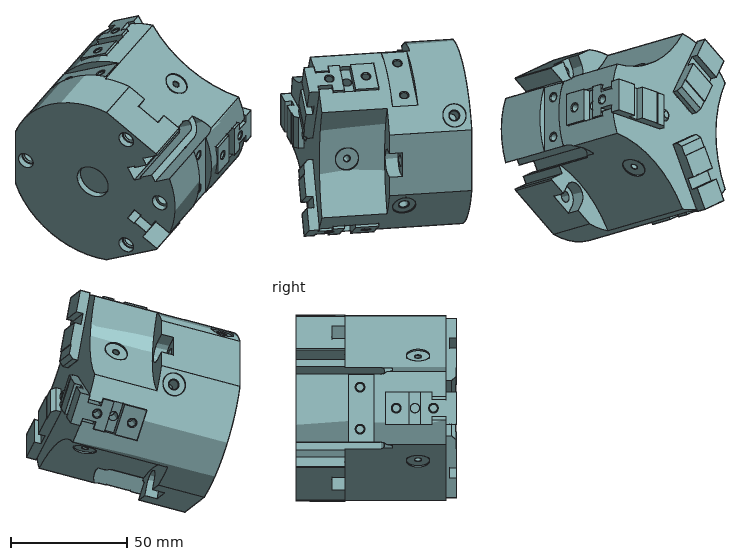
import cadquery as cq
import math


BODY_RADIUS = 40.0
BODY_HEIGHT = 64.5
COVER_HEIGHT = 6.1
FLAT_RADIAL = 37.5
JAW_ANGLES = (0, 120, 240)

SCALLOP_FLOORS = {60: 21.0, 180: 36.0, 300: 21.0}
SCALLOP_RADIUS = 52.0
SCALLOP_AXIS_RADIAL = 78.1
RELIEF_WIDTH = 10.8
RELIEF_DEPTH = 5.6
RELIEF_END_RADIAL = 27.5

SENSOR_ANGLES = (30, -30)
SENSOR_STRAIGHT_HEIGHT = 35.5
SENSOR_STEPS = ((31.5, 6.0), (25.0, 2.6), (21.4, 3.2))

SEAT_ANGLES = (0, 120)
SEAT_RADIAL = 37.0
SEAT_BOTTOM = 22.5
SEAT_HEIGHT = 11.0
SEAT_HOLE_SPACING = 18.0
SEAT_HOLE_Y = 27.5

THREAD_RADIUS = 1.7
THREAD_MOUTH_RADIUS = 2.1
THREAD_DEPTH = 8.0

PORT_RADIUS = 5.0
PORT_SEAT_RADIAL = 39.1
PORT_HOLE_RADIUS = 2.1
PORT_HOLE_MOUTH = 2.4
PORT_PLACES = ((150, 7.0), (210, 29.0))
SCALLOP_PORT_Y = 52.4
SCALLOP_PORT_SEAT_RADIAL = 25.6
SCALLOP_PORT_HOLE_RADIUS = 1.4
SCALLOP_PORT_HOLE_MOUTH = 1.5
PORT_HOLE_DEPTH = 8.0

BOLT_RADIAL = 32.5
BOLT_HOLE_RADIUS = 2.5
BOLT_SINK_RADIUS = 3.0
BOLT_MOUTH_RADIUS = 3.5
BOLT_MOUTH_DEPTH = 3.0
BOLT_ANGLES = (60, 180, 300)
BLIND_BOLT_ANGLE = 0
BLIND_BOLT_DEPTH = 12.0
DRILL_TIP_ANGLE = 118.0
CENTRE_RADIUS = 7.5
CENTRE_DEPTH = 3.0

STUD_X = 6.6
STUD_BASE_RADIUS = 2.6
STUD_TOP_RADIUS = 1.5
STUD_HEIGHT = 1.1

JAW_OUTER = 40.5
JAW_INNER = 9.7
JAW_WIDTH = 14.0
JAW_BOTTOM = 38.5
JAW_TOP = 69.0
NECK_WIDTH = 7.4
NECK_SLOT_WIDTH = 10.0
FACE_GROOVE_BOTTOM = 48.6
FACE_GROOVE_HEIGHT = 4.9
FACE_GROOVE_RADIAL = 37.0
FACE_GROOVE_HOLE_RADIUS = 2.0
JAW_HOLE_HEIGHTS = (43.0, 59.0)
KEY_GROOVE_INNER = 25.7
KEY_GROOVE_WIDTH = 5.0
KEY_GROOVE_DEPTH = 3.0
TIP_STEP_RADIAL = 15.8
TIP_STEP_DEPTH = 0.3
TIP_CHAMFER = 1.8

COVER_BOTTOM = BODY_HEIGHT - COVER_HEIGHT
PAST = 8.0


def turned(shape, angle):
    """Turn a shape built along +X to the given direction around the housing axis."""
    return shape.rotate((0, 0, 0), (0, 1, 0), -angle)


def block(radial_in, radial_out, bottom, top, width):
    """Box along +X, centred on Z = 0."""
    size = (radial_out - radial_in, top - bottom, width)
    return cq.Workplane("XY").box(*size, centered=(False, False, True)).translate((radial_in, bottom, 0))


def rod(radius, bottom, height):
    """Cylinder along the housing axis."""
    return cq.Workplane("XZ", origin=(0, bottom, 0)).circle(radius).extrude(-height)


def radial_hole(mouth_radial, height, radius, mouth_radius, depth, side=0.0):
    """Radial hole along +X with a 45-degree countersink from mouth_radius down to radius."""
    sink = mouth_radius - radius
    profile = [
        (mouth_radial - depth, 0), (mouth_radial - depth, radius), (mouth_radial - sink, radius),
        (mouth_radial, mouth_radius), (mouth_radial + PAST, mouth_radius), (mouth_radial + PAST, 0),
    ]
    hole = cq.Workplane("XY").polyline(profile).close().revolve(360, (0, 0, 0), (1, 0, 0))
    return hole.translate((0, height, side))


def port(seat_radial, height, hole_radius, mouth_radius):
    """Spot face with a central countersunk hole, along +X."""
    hole = radial_hole(seat_radial, height, hole_radius, mouth_radius, PORT_HOLE_DEPTH)
    spot = cq.Workplane("YZ", origin=(seat_radial, height, 0)).circle(PORT_RADIUS).extrude(PAST)
    return hole.union(spot)


def scallop(floor):
    """Concave cut with its axis parallel to the housing axis, plus the pocket in its floor."""
    cut = rod(SCALLOP_RADIUS, floor, BODY_HEIGHT).translate((SCALLOP_AXIS_RADIAL, 0, 0))
    end_centre = RELIEF_END_RADIAL + RELIEF_WIDTH / 2
    relief = block(end_centre, BODY_RADIUS + PAST, floor - RELIEF_DEPTH, floor, RELIEF_WIDTH)
    relief_end = rod(RELIEF_WIDTH / 2, floor - RELIEF_DEPTH, RELIEF_DEPTH).translate((end_centre, 0, 0))
    return cut.union(relief).union(relief_end)


def sensor_slot():
    """Stepped slot from the mounting face upwards, each step closed by a half-round top."""
    slot = cq.Workplane("XY")
    outer = BODY_RADIUS + PAST
    for inner, half_width in SENSOR_STEPS:
        straight = block(inner, outer, 0, SENSOR_STRAIGHT_HEIGHT, 2 * half_width)
        top = cq.Workplane("YZ", origin=(inner, SENSOR_STRAIGHT_HEIGHT, 0)).circle(half_width)
        slot = slot.union(straight).union(top.extrude(outer - inner))
        outer = inner
    return slot


def bolt_hole(depth):
    """Counterbored hole in the mounting face at +X."""
    hole = rod(BOLT_HOLE_RADIUS, 0, depth).union(rod(BOLT_MOUTH_RADIUS, 0, BOLT_MOUTH_DEPTH))
    return hole.translate((BOLT_RADIAL, 0, 0))


def through_bolt_hole():
    """Counterbored through hole, countersunk at 45 degrees below the counterbore."""
    sink = cq.Solid.makeCone(
        BOLT_SINK_RADIUS, BOLT_HOLE_RADIUS, BOLT_SINK_RADIUS - BOLT_HOLE_RADIUS,
        cq.Vector(BOLT_RADIAL, BOLT_MOUTH_DEPTH, 0), cq.Vector(0, 1, 0),
    )
    return bolt_hole(BODY_HEIGHT).union(cq.Workplane(obj=sink))


def drill_tip(bottom):
    """Conical end of the blind bolt hole."""
    length = BOLT_HOLE_RADIUS / math.tan(math.radians(DRILL_TIP_ANGLE / 2))
    cone = cq.Solid.makeCone(
        BOLT_HOLE_RADIUS, 0, length, cq.Vector(BOLT_RADIAL, bottom, 0), cq.Vector(0, 1, 0)
    )
    return cq.Workplane(obj=cone)


def jaw_way():
    """Space in the housing for one jaw: a full-width guide below the cover and a slot through it."""
    guide = block(JAW_INNER, BODY_RADIUS + PAST, JAW_BOTTOM, COVER_BOTTOM, JAW_WIDTH)
    neck_slot = block(JAW_INNER, BODY_RADIUS + PAST, COVER_BOTTOM, BODY_HEIGHT, NECK_SLOT_WIDTH)
    return guide.union(neck_slot)


def bolted_seat():
    """Flat seat in the outer wall with two threaded holes."""
    seat = block(SEAT_RADIAL, BODY_RADIUS + PAST, SEAT_BOTTOM, SEAT_BOTTOM + SEAT_HEIGHT, 2 * BODY_RADIUS)
    for side in (-SEAT_HOLE_SPACING / 2, SEAT_HOLE_SPACING / 2):
        hole = radial_hole(SEAT_RADIAL, SEAT_HOLE_Y, THREAD_RADIUS, THREAD_MOUTH_RADIUS, THREAD_DEPTH, side)
        seat = seat.union(hole)
    return seat


def make_housing():
    housing = rod(BODY_RADIUS, 0, BODY_HEIGHT)
    for angle, floor in SCALLOP_FLOORS.items():
        flat = block(FLAT_RADIAL, BODY_RADIUS + PAST, 0, BODY_HEIGHT, 2 * BODY_RADIUS)
        scallop_port = port(
            SCALLOP_PORT_SEAT_RADIAL, SCALLOP_PORT_Y, SCALLOP_PORT_HOLE_RADIUS, SCALLOP_PORT_HOLE_MOUTH
        )
        for cutter in (flat, scallop(floor), scallop_port):
            housing = housing.cut(turned(cutter, angle))
    for angle in JAW_ANGLES:
        housing = housing.cut(turned(jaw_way(), angle))
    for angle in SEAT_ANGLES:
        housing = housing.cut(turned(bolted_seat(), angle))
    for angle in SENSOR_ANGLES:
        housing = housing.cut(turned(sensor_slot(), angle))
    for angle, height in PORT_PLACES:
        side_port = port(PORT_SEAT_RADIAL, height, PORT_HOLE_RADIUS, PORT_HOLE_MOUTH)
        housing = housing.cut(turned(side_port, angle))
    for angle in BOLT_ANGLES:
        housing = housing.cut(turned(through_bolt_hole(), angle))
    housing = housing.cut(turned(bolt_hole(BLIND_BOLT_DEPTH), BLIND_BOLT_ANGLE))
    housing = housing.cut(turned(drill_tip(BLIND_BOLT_DEPTH), BLIND_BOLT_ANGLE))
    housing = housing.cut(rod(CENTRE_RADIUS, 0, CENTRE_DEPTH))
    stud = cq.Solid.makeCone(
        STUD_BASE_RADIUS, STUD_TOP_RADIUS, STUD_HEIGHT, cq.Vector(STUD_X, BODY_HEIGHT, 0), cq.Vector(0, 1, 0)
    )
    return housing.union(cq.Workplane(obj=stud))


def make_jaw(angle):
    foot = block(JAW_INNER, JAW_OUTER, JAW_BOTTOM, COVER_BOTTOM, JAW_WIDTH)
    neck = block(JAW_INNER, JAW_OUTER, COVER_BOTTOM, BODY_HEIGHT, NECK_WIDTH)
    step_top = JAW_TOP - TIP_STEP_DEPTH
    head_outline = [
        (JAW_INNER, BODY_HEIGHT), (JAW_INNER, step_top - TIP_CHAMFER), (JAW_INNER + TIP_CHAMFER, step_top),
        (TIP_STEP_RADIAL, step_top), (TIP_STEP_RADIAL, JAW_TOP), (JAW_OUTER, JAW_TOP),
        (JAW_OUTER, BODY_HEIGHT),
    ]
    head = cq.Workplane("XY").polyline(head_outline).close().extrude(JAW_WIDTH / 2, both=True)
    jaw = foot.union(neck).union(head)

    key_groove = block(
        KEY_GROOVE_INNER, KEY_GROOVE_INNER + KEY_GROOVE_WIDTH, JAW_TOP - KEY_GROOVE_DEPTH, JAW_TOP, JAW_WIDTH
    )
    groove_top = FACE_GROOVE_BOTTOM + FACE_GROOVE_HEIGHT
    face_groove = block(FACE_GROOVE_RADIAL, JAW_OUTER, FACE_GROOVE_BOTTOM, groove_top, JAW_WIDTH)
    hole_place = (FACE_GROOVE_RADIAL, FACE_GROOVE_BOTTOM + FACE_GROOVE_HEIGHT / 2, 0)
    groove_hole = cq.Workplane("YZ", origin=hole_place).circle(FACE_GROOVE_HOLE_RADIUS).extrude(-THREAD_DEPTH)
    jaw = jaw.cut(key_groove).cut(face_groove).cut(groove_hole)
    for height in JAW_HOLE_HEIGHTS:
        jaw = jaw.cut(radial_hole(JAW_OUTER, height, THREAD_RADIUS, THREAD_MOUTH_RADIUS, THREAD_DEPTH))
    return turned(jaw, angle)


housing = make_housing()
jaws = [make_jaw(angle) for angle in JAW_ANGLES]

result = cq.Compound.makeCompound([housing.val()] + [jaw.val() for jaw in jaws])